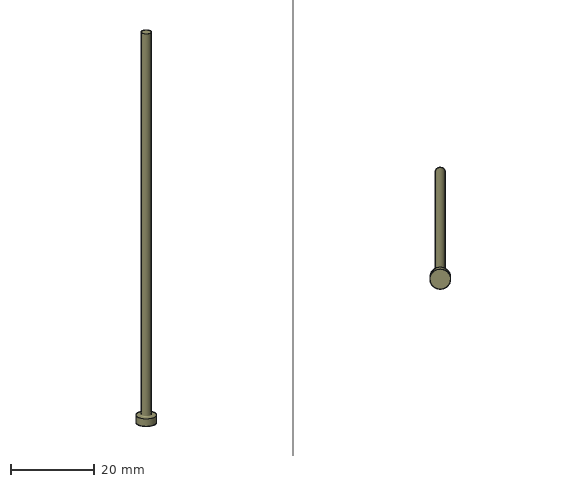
import cadquery as cq

overall_length = 102.0
head_diameter = 5.0
head_height = 2.0
shank_diameter = 2.5
root_fillet_radius = 0.2

head_radius = head_diameter / 2
shank_radius = shank_diameter / 2


def make_half_profile():
    """Outline from the pin axis out to the -X side, with Z up."""
    return (
        cq.Workplane("XZ")
        .moveTo(0, 0)
        .lineTo(-head_radius, 0)
        .lineTo(-head_radius, head_height)
        .lineTo(-shank_radius - root_fillet_radius, head_height)
        .radiusArc((-shank_radius, head_height + root_fillet_radius), -root_fillet_radius)
        .lineTo(-shank_radius, overall_length)
        .lineTo(0, overall_length)
        .close()
    )


result = make_half_profile().revolve(360, (0, 0), (0, 1))